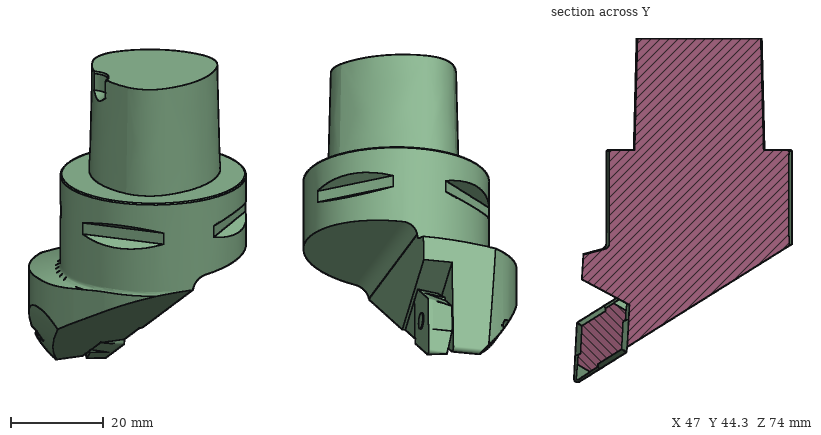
import cadquery as cq
import math


overall_width = 47.0
overall_height = 74.0

shank_height = 24.0
shank_cone_ratio = 20
shank_taper = math.degrees(math.atan(1 / (2 * shank_cone_ratio)))
lobe_reach = 14.95
flank_reach = 13.3
lobe_center = 6.2
lobe_directions = (90, 210, 330)

notch_radius = 3.6
notch_axis_y = -14.6
notch_floor_z = 19.75
notch_point_angle = 108
notch_chamfer_width = 0.2
notch_chamfer_height = 0.45

flange_diameter = 40.0
flange_radius = flange_diameter / 2
flange_height = 20.05
flange_chamfer = 0.3
slot_center_z = -8.0
slot_floor_width = 2.5
slot_mouth_width = 5.25
slot_floor_distance = 17.7
slot_directions = (45, 135, 225, 315)

shoulder_angle = 15
shoulder_fillet = 1.3
big_arc_center = (-6.4, -0.2)
head_front_y = -24.3
small_arc_center_x = -4.45
small_arc_radius = 17.0
side_line_angle = 35.5
rake_face_y = 0.7
back_under_z = -15.9
back_under_angle = 5
back_fillet = 3.4

side_angle = 3.5
side_point = (-24.95, -22.4)
bottom_angle = 32
bottom_point = (20.0, -20.3)
nose_fillet = 0.9
front_relief = ((-24.3, -29.0), (-18.8, -39.6), (-11.8, -48.5))

tip_x = flange_radius - overall_width
tip_z = shank_height - overall_height
insert_nose_radius = 0.8
insert_edge = 13.55
insert_thickness = 5.6
insert_side_angle = 3
insert_clearance = 7
lip_thickness = 1.0
flank_clearance = 14
flank_half_length = 6.3
flank_end_angle = 40
flank_end_depth = 2.95
nose_relief_start = 4.8
nose_relief_angle = 13.5
hub_diameter = 3.5
hub_height = 0.2

pocket_wall = ((-25.2, -27.9), (-7.4, -37.45))
screw_hole_diameter = 4.0
screw_hole_floor_y = -17.3

beyond = 59.2


def polar(length, degrees):
    """Vector of a given length and direction in a plane."""
    return (length * math.cos(math.radians(degrees)), length * math.sin(math.radians(degrees)))


def shift(point, step):
    """Point moved by a step."""
    return (point[0] + step[0], point[1] + step[1])


def front_plane(y):
    """Plane at the given Y whose local axes are X and Z and whose normal is -Y."""
    return cq.Workplane("XZ", origin=(0, y, 0))


def along_line(point, degrees, distance):
    return shift(point, polar(distance, degrees))



def shank():
    """Six tangent arcs; each flank arc's centre lies across the axis from its flank."""
    reach_gap = lobe_reach - flank_reach
    flank_center = (2 * reach_gap * lobe_center - reach_gap**2) / (lobe_center - 2 * reach_gap)
    joint_step = shift(polar(lobe_center, 210), (0, -flank_center))
    joint_direction = math.degrees(math.atan2(joint_step[1], joint_step[0])) % 360
    joint_half_angle = joint_direction - 210
    lobe_radius = lobe_reach - lobe_center

    def joint(direction, side):
        center = polar(lobe_center, direction)
        return shift(center, polar(lobe_radius, direction + side * joint_half_angle))

    outline = cq.Workplane("XY").moveTo(*joint(lobe_directions[0], -1))
    for direction in lobe_directions:
        outline = outline.threePointArc(polar(lobe_reach, direction), joint(direction, 1))
        outline = outline.threePointArc(polar(flank_reach, direction + 60), joint(direction + 120, -1))
    return outline.close().extrude(shank_height, taper=shank_taper)


def shank_notch():
    point_depth = notch_radius / math.tan(math.radians(notch_point_angle / 2))
    profile = (
        cq.Workplane("XZ", origin=(0, notch_axis_y, 0))
        .moveTo(0, notch_floor_z - point_depth)
        .lineTo(notch_radius, notch_floor_z)
        .lineTo(notch_radius, shank_height - notch_chamfer_height)
        .lineTo(notch_radius + notch_chamfer_width, shank_height)
        .lineTo(0, shank_height)
        .close()
    )
    return profile.revolve(360, (0, 0, 0), (0, 1, 0))



def flange():
    return (
        cq.Workplane("XY")
        .circle(flange_radius)
        .extrude(-flange_height)
        .faces(">Z")
        .chamfer(flange_chamfer)
    )


def gripper_slots():
    """Four flat-floored slots with flared sides, at 45 degrees to the axes."""
    depth = flange_radius - slot_floor_distance
    flare = (slot_mouth_width - slot_floor_width) / 2 / depth
    mouth_distance = flange_radius + 0.75
    mouth_half = slot_floor_width / 2 + flare * (mouth_distance - slot_floor_distance)
    floor_half = slot_floor_width / 2
    slot = (
        cq.Workplane("XZ")
        .moveTo(slot_floor_distance, slot_center_z - floor_half)
        .lineTo(mouth_distance, slot_center_z - mouth_half)
        .lineTo(mouth_distance, slot_center_z + mouth_half)
        .lineTo(slot_floor_distance, slot_center_z + floor_half)
        .close()
        .extrude(flange_radius, both=True)
    )
    slots = cq.Workplane("XY")
    for direction in slot_directions:
        slots = slots.add(slot.rotate((0, 0, 0), (0, 0, 1), direction))
    return slots.combine()


def head_blank():
    """Upright prism of the head outline, under a conical shoulder filleted to the flange."""
    big_radius = big_arc_center[1] - head_front_y
    left_x = big_arc_center[0] - big_radius
    small_center = (small_arc_center_x, head_front_y + small_arc_radius)
    side_normal = side_line_angle - 90
    middle_normal = (side_normal - 90) / 2
    side_line_start = shift(small_center, polar(small_arc_radius, side_normal))
    outward = polar(1, side_normal)
    end_radius = side_line_start[0] * outward[0] + side_line_start[1] * outward[1]
    prism = (
        cq.Workplane("XY", origin=(0, 0, -flange_height))
        .moveTo(left_x, rake_face_y)
        .lineTo(left_x, big_arc_center[1])
        .threePointArc(shift(big_arc_center, polar(big_radius, 225)), (big_arc_center[0], head_front_y))
        .lineTo(small_arc_center_x, head_front_y)
        .threePointArc(shift(small_center, polar(small_arc_radius, middle_normal)), side_line_start)
        .lineTo(*polar(end_radius, side_normal))
        .threePointArc(polar(end_radius, side_normal / 2), (end_radius, 0))
        .lineTo(end_radius, rake_face_y)
        .close()
        .extrude(-beyond)
    )
    return prism.intersect(shoulder_cone())


def shoulder_cone():
    """Solid of revolution that bounds the head from above."""
    turn = 90 - shoulder_angle
    tangent = shoulder_fillet * math.tan(math.radians(turn / 2))
    fillet_center = (flange_radius + shoulder_fillet, -flange_height)
    foot = shift((flange_radius, -flange_height - tangent), polar(tangent, -shoulder_angle))
    rim = shift(foot, polar(beyond, -shoulder_angle))
    return (
        cq.Workplane("XZ")
        .moveTo(0, -flange_height)
        .lineTo(flange_radius, -flange_height)
        .threePointArc(shift(fillet_center, polar(shoulder_fillet, 180 + turn / 2)), foot)
        .lineTo(*rim)
        .lineTo(rim[0], -2 * beyond)
        .lineTo(0, -2 * beyond)
        .close()
        .revolve(360, (0, 0, 0), (0, 1, 0))
    )


def back_cut():
    """Everything behind the rake face and below the sloped underside of the flange."""
    drop = math.tan(math.radians(back_under_angle))
    corner_z = back_under_z - drop * (flange_radius - rake_face_y)
    far_z = corner_z + drop * (beyond - rake_face_y)
    cut = (
        cq.Workplane("YZ")
        .moveTo(rake_face_y, corner_z)
        .lineTo(beyond, far_z)
        .lineTo(beyond, -2 * beyond)
        .lineTo(rake_face_y, -2 * beyond)
        .close()
        .extrude(beyond, both=True)
    )
    inner_edge = cq.selectors.NearestToPointSelector((0, rake_face_y, corner_z))
    return cut.edges(inner_edge).fillet(back_fillet)


def clearance_wedge():
    """Kept region between the left side and the bottom slope, with a rounded nose edge."""
    side_slope = math.tan(math.radians(side_angle))
    bottom_slope = math.tan(math.radians(bottom_angle))
    side_x_at_zero = side_point[0] - side_point[1] * side_slope
    bottom_z_at_zero = bottom_point[1] - bottom_point[0] * bottom_slope
    nose_z = (bottom_z_at_zero + side_x_at_zero * bottom_slope) / (1 - side_slope * bottom_slope)
    nose = (side_x_at_zero + nose_z * side_slope, nose_z)
    side_end = along_line(nose, 90 - side_angle, 2 * beyond)
    bottom_end = along_line(nose, bottom_angle, 2 * beyond)
    wedge = front_plane(0).polyline([nose, side_end, bottom_end]).close().extrude(beyond, both=True)
    nose_edge = cq.selectors.NearestToPointSelector((nose[0], 0, nose[1]))
    return wedge.edges(nose_edge).fillet(nose_fillet)


def front_relief_cut():
    """Curved relief on the -Y side, constant along X."""
    top, middle, bottom = front_relief
    return (
        cq.Workplane("YZ")
        .moveTo(*top)
        .threePointArc(middle, bottom)
        .lineTo(bottom[0], -beyond)
        .lineTo(-beyond, -beyond)
        .lineTo(-beyond, top[1])
        .close()
        .extrude(beyond, both=True)
    )


def screw_hole_exit(center):
    return (
        front_plane(screw_hole_floor_y)
        .center(*center)
        .circle(screw_hole_diameter / 2)
        .extrude(beyond)
    )



side_direction = 90 - insert_side_angle
diagonal_direction = (side_direction + bottom_angle) / 2
half_tip_angle = (side_direction - bottom_angle) / 2
half_tip_sine = math.sin(math.radians(half_tip_angle))
half_tip_cosine = math.cos(math.radians(half_tip_angle))
nose_center = (tip_x + insert_nose_radius, tip_z + insert_nose_radius)
sharp_tip = along_line(nose_center, diagonal_direction, -insert_nose_radius / half_tip_sine)
insert_center = along_line(sharp_tip, diagonal_direction, insert_edge * half_tip_cosine)


def insert_plane(y):
    """Plane at the given Y, centred on the insert, with local X along its long diagonal."""
    diagonal = polar(1, diagonal_direction)
    return cq.Workplane(
        cq.Plane(
            origin=(insert_center[0], y, insert_center[1]),
            xDir=(diagonal[0], 0, diagonal[1]),
            normal=(0, -1, 0),
        )
    )


def rhombus(y, nose_radius, depth, taper):
    """Tapered rhombus below the given Y; its four rounded corners keep their centres."""
    edge_between_centers = insert_edge - insert_nose_radius / (half_tip_sine * half_tip_cosine)
    half_length = edge_between_centers * half_tip_cosine
    half_width = edge_between_centers * half_tip_sine
    corner_centers = [(-half_length, 0), (0, -half_width), (half_length, 0), (0, half_width)]
    outline = insert_plane(y).polyline(corner_centers).close().offset2D(nose_radius)
    return outline.extrude(depth, taper=taper)


def steeper_flanks():
    """Material removed below the lip, on both sides of each obtuse corner."""
    depth = insert_thickness - lip_thickness
    lip_radius = insert_nose_radius - lip_thickness * math.tan(math.radians(insert_clearance))
    edge_offset = insert_edge * half_tip_sine - flank_half_length * half_tip_sine / half_tip_cosine
    end_inner = shift((flank_half_length, edge_offset), polar(-flank_end_depth, flank_end_angle))
    end_outer = shift((flank_half_length, edge_offset), polar(beyond, flank_end_angle))
    core = rhombus(-lip_thickness, lip_radius, depth, flank_clearance)
    removed = cq.Workplane("XY")
    for side in (-1, 1):
        zone = [
            (end_inner[0], side * end_inner[1]),
            (end_outer[0], side * end_outer[1]),
            (-end_outer[0], side * end_outer[1]),
            (-end_inner[0], side * end_inner[1]),
        ]
        block = insert_plane(-lip_thickness).polyline(zone).close().extrude(depth)
        removed = removed.add(block.cut(core))
    return removed.combine()


def nose_relief(end):
    """Wedge that thins the underside towards the nose at one end (-1 or 1) of the long diagonal."""
    diagonal = polar(1, diagonal_direction)
    lengthwise_plane = cq.Plane(
        origin=(insert_center[0], -insert_thickness, insert_center[1]),
        xDir=(diagonal[0], 0, diagonal[1]),
        normal=(-diagonal[1], 0, diagonal[0]),
    )
    run_out = nose_relief_start + insert_edge
    rise = insert_edge * math.tan(math.radians(nose_relief_angle))
    return (
        cq.Workplane(lengthwise_plane)
        .polyline([(end * nose_relief_start, 0), (end * run_out, rise), (end * run_out, 0)])
        .close()
        .extrude(beyond, both=True)
    )


def insert_body():
    body = rhombus(0, insert_nose_radius, insert_thickness, insert_clearance).cut(steeper_flanks())
    for end in (-1, 1):
        body = body.cut(nose_relief(end))
    hub = front_plane(hub_height).center(*insert_center).circle(hub_diameter / 2)
    return body.union(hub.extrude(hub_height + lip_thickness))


def insert_pocket():
    """Pocket open to the left and downwards; it ends against the right side of the insert."""
    wall_slope = (pocket_wall[1][1] - pocket_wall[0][1]) / (pocket_wall[1][0] - pocket_wall[0][0])
    wall_left = (-beyond, pocket_wall[0][1] + wall_slope * (-beyond - pocket_wall[0][0]))
    wall_right = (beyond, pocket_wall[0][1] + wall_slope * (beyond - pocket_wall[0][0]))
    right_corner = along_line(sharp_tip, bottom_angle, insert_edge)
    side_down = along_line(right_corner, side_direction, -beyond)
    side_up = along_line(right_corner, side_direction, beyond)

    below_wall = (
        front_plane(beyond)
        .polyline([wall_left, wall_right, (beyond, -2 * beyond), (-beyond, -2 * beyond)])
        .close()
        .extrude(beyond + insert_thickness)
    )
    right_of_insert = (
        front_plane(0)
        .polyline([side_up, side_down, shift(side_down, (2 * beyond, 0)), shift(side_up, (2 * beyond, 0))])
        .close()
        .extrude(beyond)
    )
    return below_wall.cut(right_of_insert)



def holder_body(insert_solid):
    head = head_blank().cut(front_relief_cut()).cut(screw_hole_exit(insert_center))
    body = flange().union(head.intersect(clearance_wedge())).cut(back_cut())
    body = body.cut(gripper_slots()).cut(insert_pocket()).cut(insert_solid)
    return body.union(shank().cut(shank_notch()))


insert = insert_body()
holder = holder_body(insert)

result = cq.Compound.makeCompound([holder.solids().val(), insert.solids().val()])